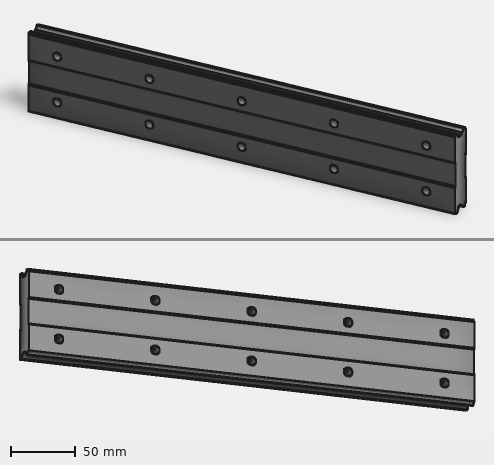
import math

import cadquery as cq

length = 370.0
thickness = 19.0
height = 69.0

relief_depth = 1.0
relief_floor_half_height = 10.0
relief_mouth_half_height = relief_floor_half_height + relief_depth

front_chamfer = 1.0
rear_cove_leg = 2.5
rear_cove_radius = 2.8

groove_depth = 4.0
front_flank_angle = 60.0
groove_floor_rear_y = 1.0
hollow_leg = 2.5
hollow_radius = 4.0
groove_front_y = -5.5

hole_diameter = 7.0
hole_pitch = 80.0
hole_columns = 5
hole_row_spacing = 40.0
hole_rows = 2

front_y = -thickness / 2
rear_y = thickness / 2
top_z = height / 2
relief_front_y = front_y + relief_depth
relief_rear_y = rear_y - relief_depth
groove_floor_z = top_z - groove_depth
groove_floor_front_y = groove_front_y + groove_depth / math.tan(math.radians(front_flank_angle))
groove_rear_y = groove_floor_rear_y + groove_depth


def hollow_arc_middle(start, end, radius):
    """Middle point of an arc that bows to the right of the line from start to end, into the bar."""
    dy = end[0] - start[0]
    dz = end[1] - start[1]
    chord = math.hypot(dy, dz)
    sagitta = radius - math.sqrt(radius**2 - (chord / 2) ** 2)
    middle_y = (start[0] + end[0]) / 2 + dz / chord * sagitta
    middle_z = (start[1] + end[1]) / 2 - dy / chord * sagitta
    return middle_y, middle_z


def upper_half_body():
    """Half of the bar above its middle plane, extruded along X."""
    hollow_start = (groove_rear_y - hollow_leg, top_z - hollow_leg)
    hollow_end = (groove_rear_y, top_z)
    hollow_middle = hollow_arc_middle(hollow_start, hollow_end, hollow_radius)

    cove_start = (rear_y - rear_cove_leg, top_z)
    cove_end = (rear_y, top_z - rear_cove_leg)
    cove_middle = hollow_arc_middle(cove_start, cove_end, rear_cove_radius)

    return (
        cq.Workplane("YZ")
        .moveTo(relief_front_y, 0)
        .lineTo(relief_front_y, relief_floor_half_height)
        .lineTo(front_y, relief_mouth_half_height)
        .lineTo(front_y, top_z - front_chamfer)
        .lineTo(front_y + front_chamfer, top_z)
        .lineTo(groove_front_y, top_z)
        .lineTo(groove_floor_front_y, groove_floor_z)
        .lineTo(groove_floor_rear_y, groove_floor_z)
        .lineTo(*hollow_start)
        .threePointArc(hollow_middle, hollow_end)
        .lineTo(*cove_start)
        .threePointArc(cove_middle, cove_end)
        .lineTo(rear_y, relief_mouth_half_height)
        .lineTo(relief_rear_y, relief_floor_half_height)
        .lineTo(relief_rear_y, 0)
        .close()
        .extrude(length / 2, both=True)
    )


def mounting_holes():
    """Two rows of through holes running along Y."""
    return (
        cq.Workplane("XZ")
        .rarray(hole_pitch, hole_row_spacing, hole_columns, hole_rows)
        .circle(hole_diameter / 2)
        .extrude(thickness / 2, both=True)
    )


upper_half = upper_half_body()
body = upper_half.union(upper_half.mirror("XY")).clean()
result = body.cut(mounting_holes())